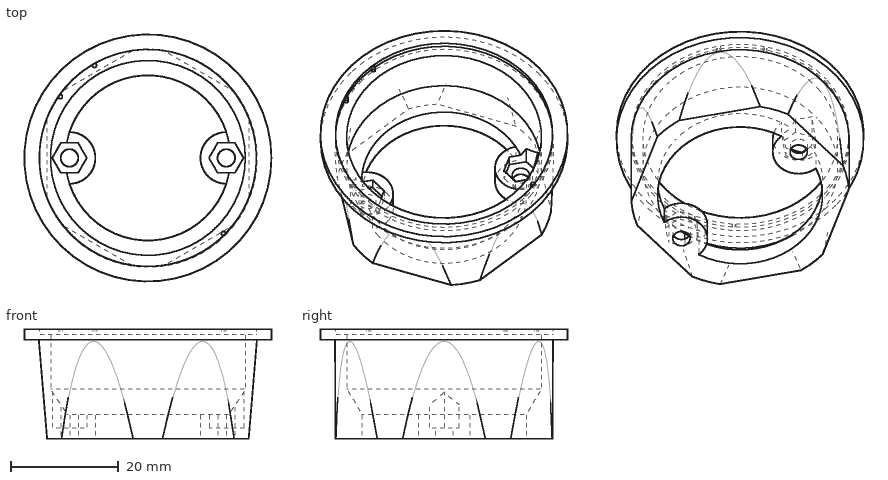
import cadquery as cq
import math

height = 20.35
flange_diameter = 45.8
flange_thickness = 2.0
body_diameter = 40.4
body_height = height - flange_thickness

recess_diameter = 40.2
recess_depth = 1.0
bore_diameter = 36.1
throat_diameter = 30.55
throat_height = 4.6
cone_height = 4.65
cone_top = throat_height + cone_height

flat_count = 6
flat_bottom_distance = 18.7
flat_apex_height = 18.1

boss_offset = 14.5
boss_diameter = 9.6
screw_diameter = 3.2
hexagon_sides = 6
nut_across_flats = 5.55
nut_floor_height = 2.05

pin_diameter = 0.8
pin_radius = 19.8
pin_height = 0.7
pin_angles = (120, 145, -45)


def cylinder(diameter, bottom, length, x=0, y=0):
    return cq.Workplane("XY", origin=(x, y, bottom)).circle(diameter / 2).extrude(length)


def grip_flat_cutter(angle):
    """Wedge outside a plane that slopes from the bottom edge out to the body surface."""
    outer = flange_diameter / 2
    wedge = (
        cq.Workplane("XZ")
        .moveTo(flat_bottom_distance, 0)
        .lineTo(outer, 0)
        .lineTo(outer, flat_apex_height)
        .lineTo(body_diameter / 2, flat_apex_height)
        .close()
        .extrude(body_diameter / 2, both=True)
    )
    return wedge.rotate((0, 0, 0), (0, 0, 1), angle)


def opening():
    """Revolved void: throat, cone, straight bore and shallow top recess."""
    recess_floor = height - recess_depth
    return (
        cq.Workplane("XZ")
        .moveTo(0, 0)
        .lineTo(throat_diameter / 2, 0)
        .lineTo(throat_diameter / 2, throat_height)
        .lineTo(bore_diameter / 2, cone_top)
        .lineTo(bore_diameter / 2, recess_floor)
        .lineTo(recess_diameter / 2, recess_floor)
        .lineTo(recess_diameter / 2, height)
        .lineTo(0, height)
        .close()
        .revolve(360, (0, 0, 0), (0, 1, 0))
    )


def boss(x):
    """Full boss cylinder, kept within the throat and its surrounding wall."""
    wall_limit = cylinder((throat_diameter + bore_diameter) / 2, 0, throat_height)
    return cylinder(boss_diameter, 0, throat_height, x).intersect(wall_limit)


def nut_and_screw_cutter(x):
    """Hexagonal pocket open through the cone, above a through hole."""
    across_corners = nut_across_flats / math.cos(math.pi / hexagon_sides)
    pocket = (
        cq.Workplane("XY", origin=(x, 0, nut_floor_height))
        .polygon(hexagon_sides, across_corners)
        .extrude(cone_top - nut_floor_height)
    )
    return pocket.union(cylinder(screw_diameter, 0, nut_floor_height, x))


result = cylinder(body_diameter, 0, body_height)
for index in range(flat_count):
    result = result.cut(grip_flat_cutter(index * 360 / flat_count))
result = result.union(cylinder(flange_diameter, body_height, flange_thickness))
result = result.cut(opening())

for boss_x in (-boss_offset, boss_offset):
    result = result.union(boss(boss_x))
    result = result.cut(nut_and_screw_cutter(boss_x))

for angle in pin_angles:
    pin_x = pin_radius * math.cos(math.radians(angle))
    pin_y = pin_radius * math.sin(math.radians(angle))
    result = result.union(cylinder(pin_diameter, height - recess_depth, pin_height, pin_x, pin_y))